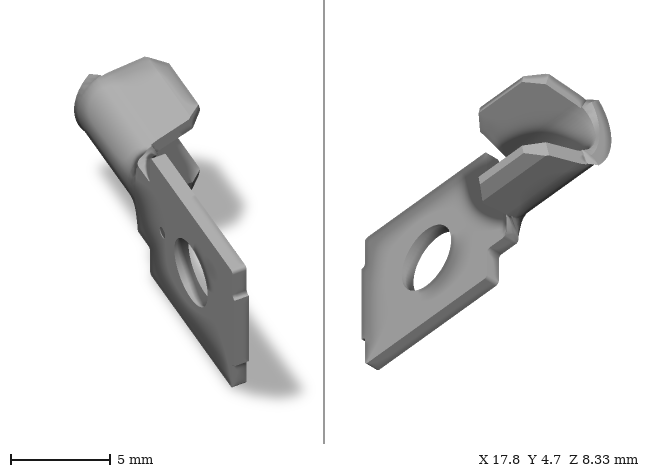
import cadquery as cq
import math


sheet = 0.8
tongue_left = -4.54
tongue_right = 4.61
tongue_height = 8.33
hole_diameter = 3.7
corner_radius = 0.2
neck_height = 4.67
stop_right = 4.85
dimple_diameter = 0.62
dimple_x = -3.17
dimple_depth = 0.05

overall_length = 17.83
barrel_end_x = stop_right - overall_length
inner_radius = 1.55
outer_radius = inner_radius + sheet
axis_y = outer_radius
wing_angle = math.radians(12.5)
wing_tip_y = 4.7
end_to_barrel_mid = 3.135
barrel_mid_x = barrel_end_x + end_to_barrel_mid
base_half_length = 2.89
side_taper = 0.11
tip_half_length = 1.635
tip_bevel_length = 0.78
tip_corner_length = 0.88
tip_thickness = 0.45

root_outer_z = 2.13
root_inner_z = 1.41
root_outer = (axis_y - math.sqrt(outer_radius**2 - root_outer_z**2), root_outer_z)
root_inner = (axis_y - math.sqrt(inner_radius**2 - root_inner_z**2), root_inner_z)
end_outer = (0.86, 2.16)
end_inner = (1.34, 1.77)
floor_half_length = base_half_length - side_taper * root_outer[0] / 2
front_root_x = barrel_mid_x - floor_half_length
neck_root_x = barrel_mid_x + floor_half_length
end_to_neck_bend = 6.2
end_to_neck_level = 6.9
end_to_neck_flat = 7.25
neck_bend_x = barrel_end_x + end_to_neck_bend
neck_bend_outer = (1.0, 2.16)
neck_bend_inner = (1.54, 1.6)
neck_level_x = barrel_end_x + end_to_neck_level
neck_level_outer = (0.08, 2.33)
neck_level_inner = (0.9, 2.28)
neck_flat_x = barrel_end_x + end_to_neck_flat


def plate(x_start, x_end, height):
    """Flat sheet between two X positions, centred on Z = 0."""
    length = x_end - x_start
    block = cq.Workplane("XY").box(length, sheet, height, centered=(False, False, True))
    return block.translate((x_start, 0, 0))


def make_tongue():
    """Tongue with its hole and dimple, the carrier stub and the flat part of the neck."""
    body = plate(tongue_left, tongue_right, tongue_height)
    body = body.union(plate(neck_flat_x, stop_right, neck_height))
    for x in (tongue_left, tongue_right):
        for half_height in (tongue_height / 2, neck_height / 2):
            for sign in (1, -1):
                corner = cq.selectors.NearestToPointSelector((x, sheet / 2, sign * half_height))
                body = body.edges("|Y").edges(corner).fillet(corner_radius)
    hole = cq.Workplane("XZ").circle(hole_diameter / 2).extrude(-sheet)
    dimple = cq.Workplane("XZ").center(dimple_x, 0).circle(dimple_diameter / 2).extrude(-dimple_depth)
    return body.cut(hole).cut(dimple)


wing_along = (math.cos(wing_angle), math.sin(wing_angle))
wing_normal = (-wing_along[1], wing_along[0])


def wing_point(length, radius):
    """(Y, Z) on the +Z wing, at a length past its root and a radius from the barrel axis."""
    return (
        axis_y + radius * wing_normal[0] + length * wing_along[0],
        radius * wing_normal[1] + length * wing_along[1],
    )


wing_length = (wing_tip_y - wing_point(0, inner_radius)[0]) / wing_along[0]


def barrel_profile():
    """U-shaped sheet section with bevelled wing tips, extruded along X."""
    bevel_start = wing_length - tip_bevel_length
    upper = [
        wing_point(bevel_start, outer_radius),
        wing_point(wing_length, inner_radius + tip_thickness),
        wing_point(wing_length, inner_radius),
        wing_point(0, inner_radius),
    ]
    lower = [(y, -z) for y, z in reversed(upper)]
    start_y, start_z = wing_point(0, outer_radius)
    return (
        cq.Workplane("YZ")
        .moveTo(start_y, start_z)
        .polyline(upper, includeCurrent=True)
        .threePointArc((sheet, 0), lower[0])
        .polyline(lower[1:], includeCurrent=True)
        .lineTo(start_y, -start_z)
        .threePointArc((0, 0), (start_y, start_z))
        .close()
        .extrude(2 * base_half_length)
        .translate((barrel_mid_x - base_half_length, 0, 0))
    )


def barrel_side_outline():
    """Block, seen along Z, that gets slowly shorter toward the wing tips."""
    tip_level_half = base_half_length - side_taper * wing_tip_y
    return (
        cq.Workplane("XY")
        .polyline([
            (base_half_length, 0),
            (tip_level_half, wing_tip_y),
            (-tip_level_half, wing_tip_y),
            (-base_half_length, 0),
        ])
        .close()
        .extrude(tongue_height / 2, both=True)
        .translate((barrel_mid_x, 0, 0))
    )


def barrel_floor_limit():
    """Wedge that keeps the curved floor at full length, up to the corners of the sheet edge."""
    slope = (root_inner[0] - root_outer[0]) / (root_outer[1] - root_inner[1])
    apex_y = root_inner[0] + slope * root_inner[1]
    return (
        cq.Workplane("YZ")
        .polyline([(apex_y, 0), (0, apex_y / slope), (0, -apex_y / slope)])
        .close()
        .extrude(neck_root_x - front_root_x)
        .translate((front_root_x, 0, 0))
    )


def tip_corner_cutter():
    """Wedge cutting one tip corner of the +Z wing, square through the sheet."""
    corner_y, corner_z = wing_point(wing_length - tip_corner_length, inner_radius)
    corner_half = base_half_length - side_taper * corner_y
    run = (corner_half - tip_half_length) / tip_corner_length
    clearance = sheet
    beyond_tip = tip_corner_length + clearance
    wing_plane = cq.Plane(origin=(0, corner_y, corner_z), xDir=(1, 0, 0), normal=(0, *wing_normal))
    return (
        cq.Workplane(wing_plane)
        .polyline([
            (corner_half + clearance * run, -clearance),
            (tip_half_length - clearance * run, beyond_tip),
            (corner_half + clearance * run, beyond_tip),
        ])
        .close()
        .extrude(2 * sheet, both=True)
    )


def make_barrel():
    """U-shaped barrel with tapered sides and cut-back wing tips."""
    outline = barrel_side_outline().union(barrel_floor_limit())
    barrel = barrel_profile().intersect(outline)
    corner = tip_corner_cutter()
    for end_corner in (corner, corner.mirror("YZ")):
        for wing_corner in (end_corner, end_corner.mirror("XY")):
            barrel = barrel.cut(wing_corner.translate((barrel_mid_x, 0, 0)))
    return barrel


def bent_section(x, outer, inner):
    """Wire of a sheet section at X = x, curved from Z = 0 up to the given edge corners."""
    outer_arc = cq.Edge.makeThreePointArc(
        cq.Vector(x, outer[0], -outer[1]), cq.Vector(x, 0, 0), cq.Vector(x, *outer)
    )
    inner_arc = cq.Edge.makeThreePointArc(
        cq.Vector(x, *inner), cq.Vector(x, sheet, 0), cq.Vector(x, inner[0], -inner[1])
    )
    upper_edge = cq.Edge.makeLine(cq.Vector(x, *outer), cq.Vector(x, *inner))
    lower_edge = cq.Edge.makeLine(
        cq.Vector(x, inner[0], -inner[1]), cq.Vector(x, outer[0], -outer[1])
    )
    return cq.Wire.assembleEdges([outer_arc, upper_edge, inner_arc, lower_edge])


def flat_section(x):
    """Wire of the flat neck section at X = x."""
    half = neck_height / 2
    corners = [(0, -half), (0, half), (sheet, half), (sheet, -half)]
    return cq.Wire.makePolygon([cq.Vector(x, y, z) for y, z in corners], close=True)


def loft(*sections, ruled=True):
    """Solid through the sections, straight between them when ruled."""
    return cq.Workplane("XY").newObject([cq.Solid.makeLoft(list(sections), ruled)])


def make_transitions():
    """Flattening free end of the barrel floor, and the neck easing into the flat tongue."""
    free_end = loft(
        bent_section(barrel_end_x, end_outer, end_inner),
        bent_section(front_root_x, root_outer, root_inner),
    )
    neck = loft(
        bent_section(neck_root_x, root_outer, root_inner),
        bent_section(neck_bend_x, neck_bend_outer, neck_bend_inner),
        bent_section(neck_level_x, neck_level_outer, neck_level_inner),
        flat_section(neck_flat_x),
        ruled=False,
    )
    return free_end.union(neck)


result = make_tongue().union(make_transitions()).union(make_barrel())